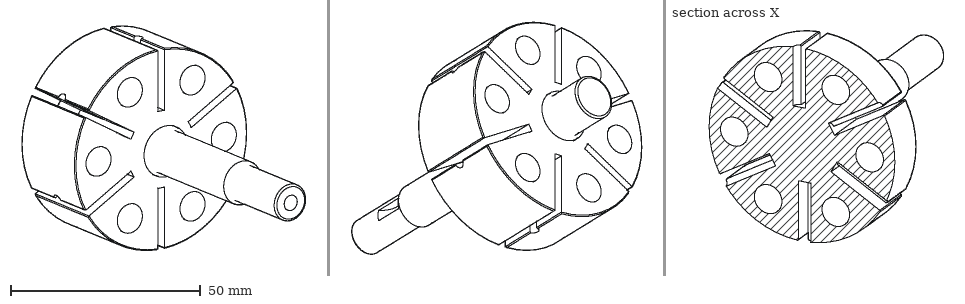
import cadquery as cq
import math

total_length = 101.5
shaft_radius = 12.0 / 2
stub_radius = 10.0 / 2
stub_start = 79.0
end_chamfer_length = 0.4
end_chamfer_depth = 0.6
center_hole_diameter = 4.2
center_hole_depth = 10.2
step_fillet = 0.3

drum_center = 28.5
drum_width = 25.1
drum_radius = 55.0 / 2
edge_chamfer = 0.3
collar_radius = 14.0 / 2
collar_length = 2.2
collar_fillet = 1.0

sector_count = 6
sector_angle = 360 / sector_count
slot_width = 2.0
slot_floor_radius = 10.6
hole_diameter = 8.0
hole_circle_radius = 20.0
notch_diameter = 3.0

key_width = 3.0
key_cutter_radius = 5.0
key_center = 85.0
key_depth = 2.8

drum_start = drum_center - drum_width / 2
drum_end = drum_center + drum_width / 2
slot_depth = drum_radius - slot_floor_radius


def make_shaft():
    """Stepped shaft with two filleted collars and chamfered ends."""
    inner_arc = 1 - math.sqrt(0.5)
    collar_start = drum_start - collar_length
    collar_end = drum_end + collar_length
    collar_root = collar_radius + collar_fillet
    profile = (
        cq.Workplane("XY")
        .lineTo(0, shaft_radius - end_chamfer_depth)
        .lineTo(end_chamfer_length, shaft_radius)
        .lineTo(collar_start - step_fillet, shaft_radius)
        .threePointArc(
            (collar_start - step_fillet * inner_arc, shaft_radius + step_fillet * inner_arc),
            (collar_start, shaft_radius + step_fillet),
        )
        .lineTo(collar_start, collar_radius)
        .lineTo(drum_start - collar_fillet, collar_radius)
        .threePointArc(
            (drum_start - collar_fillet * inner_arc, collar_radius + collar_fillet * inner_arc),
            (drum_start, collar_root),
        )
        .lineTo(drum_end, collar_root)
        .threePointArc(
            (drum_end + collar_fillet * inner_arc, collar_radius + collar_fillet * inner_arc),
            (drum_end + collar_fillet, collar_radius),
        )
        .lineTo(collar_end, collar_radius)
        .lineTo(collar_end, shaft_radius + step_fillet)
        .threePointArc(
            (collar_end + step_fillet * inner_arc, shaft_radius + step_fillet * inner_arc),
            (collar_end + step_fillet, shaft_radius),
        )
        .lineTo(stub_start, shaft_radius)
        .lineTo(stub_start, stub_radius + step_fillet)
        .threePointArc(
            (stub_start + step_fillet * inner_arc, stub_radius + step_fillet * inner_arc),
            (stub_start + step_fillet, stub_radius),
        )
        .lineTo(total_length - end_chamfer_length, stub_radius)
        .lineTo(total_length, stub_radius - end_chamfer_depth)
        .lineTo(total_length, 0)
        .close()
    )
    return profile.revolve(360, (0, 0, 0), (1, 0, 0))


def make_slot(angle):
    """Radial slot through the full drum width, turned about X."""
    slot = cq.Workplane("XY").box(drum_width, slot_width, slot_depth, centered=(True, True, False))
    return slot.translate((drum_center, 0, slot_floor_radius)).rotate((0, 0, 0), (1, 0, 0), angle)


def make_notch(angle):
    """Drilled half-round groove centred on one wall of a slot."""
    notch = cq.Workplane("XY").circle(notch_diameter / 2).extrude(slot_depth)
    notch = notch.translate((drum_center, slot_width / 2, slot_floor_radius))
    return notch.rotate((0, 0, 0), (1, 0, 0), angle)


def make_drum():
    """Drum split into sectors, with chamfered rims and slot mouths."""
    drum = cq.Workplane("YZ").workplane(offset=drum_start).circle(drum_radius).extrude(drum_width)
    holes = (
        cq.Workplane("YZ")
        .workplane(offset=drum_start)
        .polarArray(hole_circle_radius, 0, 360, sector_count)
        .circle(hole_diameter / 2)
        .extrude(drum_width)
    )
    for sector in range(sector_count):
        drum = drum.cut(make_slot(sector * sector_angle))

    drum = drum.faces("%CYLINDER").edges().chamfer(edge_chamfer)
    drum = drum.cut(holes)
    for sector in range(sector_count):
        drum = drum.cut(make_notch(sector * sector_angle))
    return drum


def make_keyway():
    """Disc whose lower arc sinks into the +Y side of the stub."""
    disc = cq.Workplane("XY").circle(key_cutter_radius).extrude(key_width / 2, both=True)
    return disc.translate((key_center, stub_radius - key_depth + key_cutter_radius, 0))


def make_center_hole():
    """Blind hole along the axis, opening in the stub end."""
    end_plane = cq.Workplane("YZ").workplane(offset=total_length)
    return end_plane.circle(center_hole_diameter / 2).extrude(-center_hole_depth)


result = make_shaft().union(make_drum()).cut(make_keyway()).cut(make_center_hole())